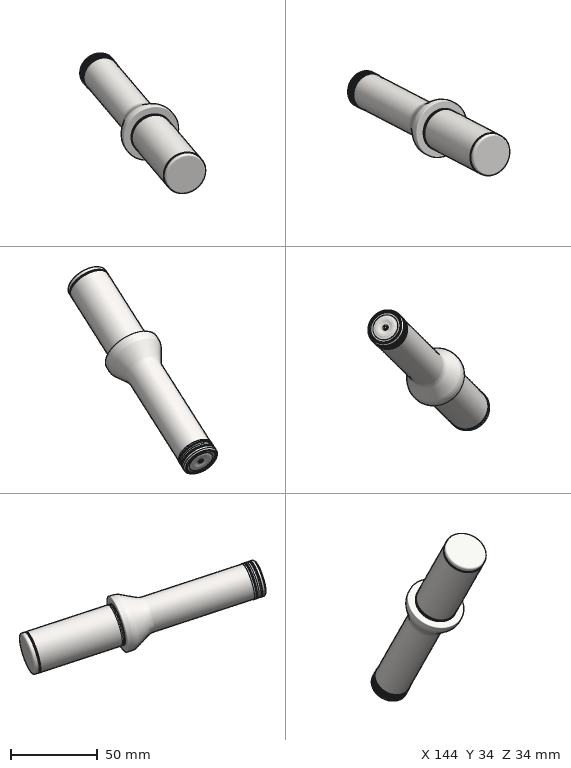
import cadquery as cq

TOTAL_LENGTH = 144.0
CAP_LENGTH = 7.5
CONE_START = 71.1
CONE_END = 83.2
FLANGE_END = 88.0

CAP_DIAMETER = 21.9
ROD_DIAMETER = 21.5
FLANGE_DIAMETER = 34.0
SHANK_DIAMETER = 25.0
GROOVE_DIAMETER = 24.5

CAP_CHAMFER = 0.9
CONE_FOOT_BLEND = 7.2
CONE_RIM_BLEND = 5.0
FLANGE_BACK_ROUND = 0.5
SHANK_END_ROUND = 1.2

CAP_V_GROOVES = [(2.3, 0.5), (5.6, 0.9)]
CAP_FLAT_GROOVE_START = 3.5
CAP_FLAT_GROOVE_WIDTH = 1.2
CAP_GROOVE_DEPTH = 0.1

DISH_RADIUS = 4.5
DISH_FLOOR_RADIUS = 2.9
DISH_DEPTH = 0.5
CENTRE_PIT_OUTER_RADIUS = 1.6
CENTRE_PIT_INNER_RADIUS = 0.7
CHANNEL_INNER_RADIUS = 5.8
CHANNEL_FLOOR_RADIUS = 6.8
CHANNEL_OUTER_RADIUS = 7.6
OUTER_CHANNEL_INNER_RADIUS = 9.0
OUTER_CHANNEL_OUTER_RADIUS = 9.5
CHANNEL_DEPTH = 0.3

UNDERCUT_START = FLANGE_END + 0.3
UNDERCUT_WIDTH = 0.7
UNDERCUT_SLOPE = 0.9

SNAP_START = 140.3
SNAP_WIDTH = 1.0


def revolve_profile(points):
    """Solid of revolution about X from a closed outline of (x, radius) points."""
    return cq.Workplane("XY").polyline(points).close().revolve(360, (0, 0, 0), (1, 0, 0))


def cylinder(start, end, diameter):
    """Round bar along X between two stations."""
    return cq.Workplane("YZ", origin=(start, 0, 0)).circle(diameter / 2).extrude(end - start)


def ring(start, width, inner_radius, outer_radius):
    """Plain ring around the X axis, used as a groove cutter."""
    plane = cq.Workplane("YZ", origin=(start, 0, 0))
    return plane.circle(outer_radius).circle(inner_radius).extrude(width)


def v_ring(start, width, floor_radius, surface_radius):
    """Ring of triangular section, used to cut a V groove around a bar."""
    return revolve_profile([
        (start, surface_radius),
        (start + width / 2, floor_radius),
        (start + width, surface_radius),
    ])


def make_cap():
    radius = CAP_DIAMETER / 2
    cap = cylinder(0, CAP_LENGTH, CAP_DIAMETER).faces("<X").edges().chamfer(CAP_CHAMFER)

    floor_radius = radius - CAP_GROOVE_DEPTH
    for start, width in CAP_V_GROOVES:
        cap = cap.cut(v_ring(start, width, floor_radius, radius))
    cap = cap.cut(ring(CAP_FLAT_GROOVE_START, CAP_FLAT_GROOVE_WIDTH, floor_radius, radius))

    dish = revolve_profile([(0, 0), (0, DISH_RADIUS), (DISH_DEPTH, DISH_FLOOR_RADIUS), (DISH_DEPTH, 0)])
    pit = ring(DISH_DEPTH, CHANNEL_DEPTH, CENTRE_PIT_INNER_RADIUS, CENTRE_PIT_OUTER_RADIUS)
    channel = revolve_profile([
        (0, CHANNEL_INNER_RADIUS),
        (CHANNEL_DEPTH, CHANNEL_FLOOR_RADIUS),
        (CHANNEL_DEPTH, CHANNEL_OUTER_RADIUS),
        (0, CHANNEL_OUTER_RADIUS),
    ])
    outer_channel = ring(0, CHANNEL_DEPTH, OUTER_CHANNEL_INNER_RADIUS, OUTER_CHANNEL_OUTER_RADIUS)
    return cap.cut(dish).cut(pit).cut(channel).cut(outer_channel)


def edges_at(x):
    """Selector for the circular edge centred on the axis at station x."""
    tolerance = 0.1
    return cq.selectors.BoxSelector(
        (x - tolerance, -FLANGE_DIAMETER, -FLANGE_DIAMETER),
        (x + tolerance, FLANGE_DIAMETER, FLANGE_DIAMETER),
        boundingbox=True,
    )


def make_rod_and_flange():
    rod_radius = ROD_DIAMETER / 2
    flange_radius = FLANGE_DIAMETER / 2
    front = revolve_profile([
        (CAP_LENGTH, 0),
        (CAP_LENGTH, rod_radius),
        (CONE_START, rod_radius),
        (CONE_END, flange_radius),
        (FLANGE_END, flange_radius),
        (FLANGE_END, 0),
    ])
    front = front.faces(">X").edges().fillet(FLANGE_BACK_ROUND)
    front = front.edges(edges_at(CONE_START)).fillet(CONE_FOOT_BLEND)
    return front.edges(edges_at(CONE_END)).fillet(CONE_RIM_BLEND)


def make_shank():
    shank_radius = SHANK_DIAMETER / 2
    groove_radius = GROOVE_DIAMETER / 2
    shank = cylinder(FLANGE_END, TOTAL_LENGTH, SHANK_DIAMETER)
    shank = shank.faces(">X").edges().fillet(SHANK_END_ROUND)
    neck_end = UNDERCUT_START + UNDERCUT_WIDTH
    undercut = revolve_profile([
        (UNDERCUT_START, shank_radius),
        (UNDERCUT_START, groove_radius),
        (neck_end, groove_radius),
        (neck_end + UNDERCUT_SLOPE, shank_radius),
    ])
    return shank.cut(undercut).cut(v_ring(SNAP_START, SNAP_WIDTH, groove_radius, shank_radius))


cap = make_cap()
body = make_rod_and_flange().union(make_shank())
result = cq.Compound.makeCompound([cap.val(), body.val()])